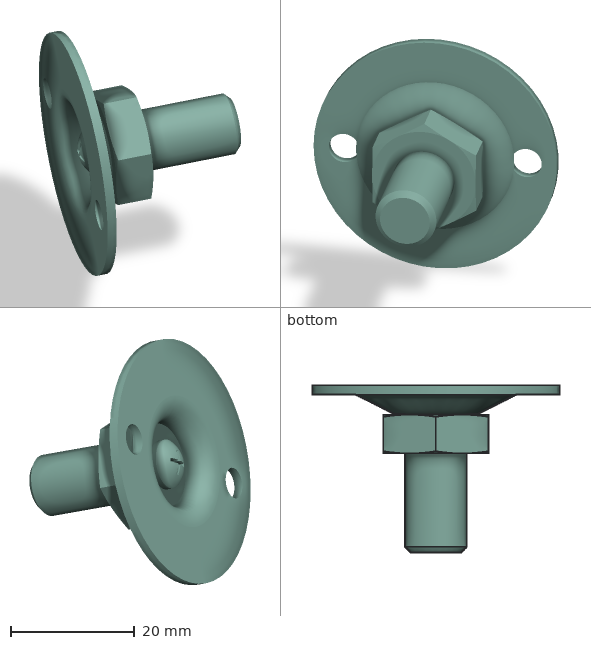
import cadquery as cq
import math


flange_diameter = 40.0
flange_thickness = 1.5
hole_diameter = 5.0
hole_spacing = 30.0

cone_base_radius = 13.0
cone_top_radius = 6.7
cone_top_y = 4.7
recess_floor_radius = 6.75
recess_depth = 4.0

head_diameter = 8.0
head_rim_height = 1.1
dome_height = 2.0
slot_length = 4.0
slot_width = 0.6
slot_depth = 1.9

nut_across_flats = 17.0
nut_front_y = 4.75
nut_bevel_angle = 15.0
stud_diameter = 10.0
stud_length = 16.0
stud_chamfer = 0.9
overall_length = 27.0

nut_back_y = overall_length - stud_length


def cylinder(diameter, start_y, end_y):
    """Solid cylinder on the Y axis between two Y positions."""
    return cq.Workplane("XZ", origin=(0, start_y, 0)).circle(diameter / 2).extrude(start_y - end_y)


def revolve_about_y(profile):
    """Close a (radius, Y) outline and turn it about the Y axis."""
    return profile.close().revolve(360, (0, 0, 0), (0, 1, 0))


def make_flange():
    """Round plate with a hole on either side of the centre."""
    flange = cylinder(flange_diameter, 0, flange_thickness)
    hole = cylinder(hole_diameter, 0, flange_thickness)
    for side in (-1, 1):
        flange = flange.cut(hole.translate((side * hole_spacing / 2, 0, 0)))
    return flange


def make_cone():
    """Truncated cone on the back of the flange; its base slightly overlaps the holes."""
    return revolve_about_y(
        cq.Workplane("XY")
        .moveTo(0, flange_thickness)
        .lineTo(cone_base_radius, flange_thickness)
        .lineTo(cone_top_radius, cone_top_y)
        .lineTo(0, cone_top_y)
    )


def make_recess():
    """Flat-floored recess whose wall is a convex quarter round as tall as the recess."""
    mouth_radius = recess_floor_radius + recess_depth
    wall_middle = (
        mouth_radius - recess_depth * math.sin(math.pi / 4),
        recess_depth * (1 - math.cos(math.pi / 4)),
    )
    return revolve_about_y(
        cq.Workplane("XY")
        .lineTo(mouth_radius, 0)
        .threePointArc(wall_middle, (recess_floor_radius, recess_depth))
        .lineTo(0, recess_depth)
    )


def make_head():
    """Low cylinder with a spherical cap and a cross slot."""
    head_radius = head_diameter / 2
    rim_y = recess_depth - head_rim_height
    crown_y = rim_y - dome_height
    sphere_radius = (head_radius**2 + dome_height**2) / (2 * dome_height)
    half_angle = math.asin(head_radius / sphere_radius) / 2
    dome_middle = (
        sphere_radius * math.sin(half_angle),
        crown_y + sphere_radius * (1 - math.cos(half_angle)),
    )
    head = revolve_about_y(
        cq.Workplane("XY")
        .moveTo(0, recess_depth)
        .lineTo(head_radius, recess_depth)
        .lineTo(head_radius, rim_y)
        .threePointArc(dome_middle, (0, crown_y))
    )
    slot_start = cq.Workplane("XZ", origin=(0, crown_y, 0))
    for size_x, size_z in ((slot_length, slot_width), (slot_width, slot_length)):
        head = head.cut(slot_start.rect(size_x, size_z).extrude(-slot_depth))
    return head


def make_nut():
    """Hexagon with corners on the Z direction, bevelled at the corners of both faces."""
    corner_radius = nut_across_flats / math.sqrt(3)
    flat_radius = nut_across_flats / 2
    bevel_height = (corner_radius - flat_radius) * math.tan(math.radians(nut_bevel_angle))
    hexagon = (
        cq.Workplane("XZ", origin=(0, nut_front_y, 0))
        .polygon(6, 2 * corner_radius)
        .extrude(nut_front_y - nut_back_y)
        .rotate((0, 0, 0), (0, 1, 0), 30)
    )
    bevelled_disc = revolve_about_y(
        cq.Workplane("XY")
        .moveTo(0, nut_front_y)
        .lineTo(flat_radius, nut_front_y)
        .lineTo(corner_radius, nut_front_y + bevel_height)
        .lineTo(corner_radius, nut_back_y - bevel_height)
        .lineTo(flat_radius, nut_back_y)
        .lineTo(0, nut_back_y)
    )
    return hexagon.intersect(bevelled_disc)


def make_stud():
    """Plain stud from the cone top through the nut, chamfered at the free end."""
    return cylinder(stud_diameter, cone_top_y, overall_length).faces(">Y").chamfer(stud_chamfer)


base = make_flange().union(make_cone()).cut(make_recess())
result = base.union(make_head()).union(make_stud()).union(make_nut())